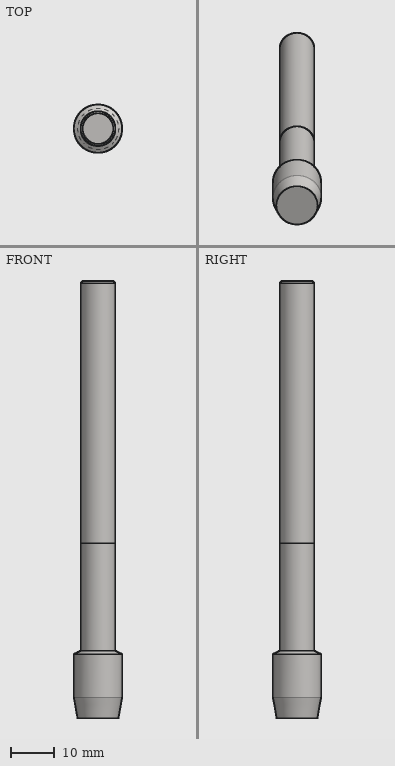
import cadquery as cq

total_length = 100.0
shank_diameter = 8.0
neck_diameter = 7.9
shank_start = 40.0
shank_end_chamfer = 0.5

head_diameter = 11.1
tip_diameter = 9.4
taper_height = 4.8
shoulder_start = 14.7
shoulder_height = 0.8

neck_radius = neck_diameter / 2
head_radius = head_diameter / 2
tip_radius = tip_diameter / 2
shoulder_end = shoulder_start + shoulder_height


def make_cutter():
    """Cutter: tapered tip, cylindrical head, conical shoulder and neck, revolved about Z."""
    return (
        cq.Workplane("XZ")
        .lineTo(tip_radius, 0)
        .lineTo(head_radius, taper_height)
        .lineTo(head_radius, shoulder_start)
        .lineTo(neck_radius, shoulder_end)
        .lineTo(neck_radius, shank_start)
        .lineTo(0, shank_start)
        .close()
        .revolve(360, (0, 0, 0), (0, 1, 0))
    )


def make_shank():
    """Shank, slightly wider than the neck, standing on it, with a chamfered top end."""
    return (
        cq.Workplane("XY")
        .workplane(offset=shank_start)
        .circle(shank_diameter / 2)
        .extrude(total_length - shank_start)
        .faces(">Z")
        .chamfer(shank_end_chamfer)
    )


cutter = make_cutter()
shank = make_shank()

result = cq.Compound.makeCompound([cutter.val(), shank.val()])